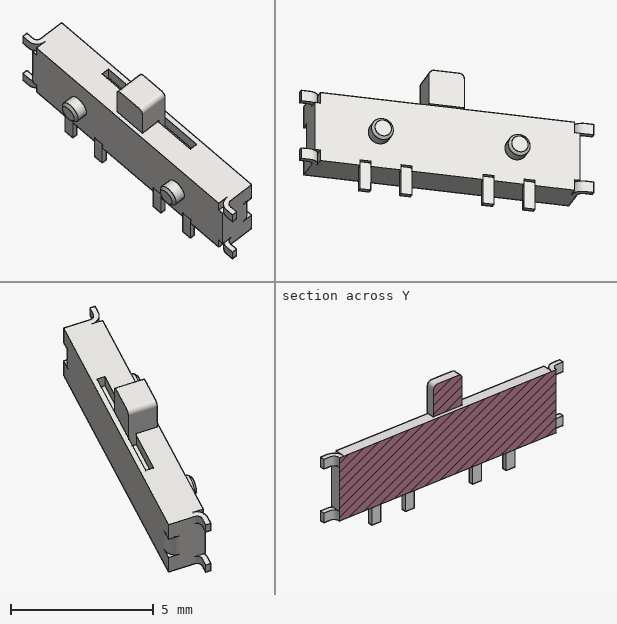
import cadquery as cq


BODY_LENGTH = 9.7
BODY_DEPTH = 1.4
BODY_HEIGHT = 2.6
HALF_LENGTH = BODY_LENGTH / 2

METAL_THICKNESS = 0.2
METAL_WIDTH = 0.4

TAB_INNER_RADIUS = 0.2
TAB_OUTER_RADIUS = TAB_INNER_RADIUS + METAL_THICKNESS
TAB_TIP_X = 5.35
TAB_BEND_X = HALF_LENGTH + TAB_INNER_RADIUS
TAB_ROOT_X = TAB_BEND_X - TAB_OUTER_RADIUS

RELIEF_RADIUS = 0.4
RELIEF_HEIGHT = 1.0

LEAD_POSITIONS = (-3.0, -1.5, 1.5, 3.0)
LEAD_LENGTH = 0.9
LEAD_BEND_RADIUS = METAL_THICKNESS

PEG_DIAMETER = 0.8
PEG_LENGTH = 0.5
PEG_CHAMFER = 0.1
PEG_SPACING = 5.0

SLOT_LENGTH = 4.5
SLOT_FRONT_Y = 0.9
SLOT_REAR_Y = 1.2
SLOT_DEPTH = 0.5
KNOB_WIDTH = 1.3
KNOB_FRONT_Y = 0.1
KNOB_TOP_ABOVE_BODY = 1.4
KNOB_CLEARANCE = 0.1
KNOB_FILLET = 0.2


def block(x_range, y_range, z_range):
    """Axis-aligned box between the given limits."""
    size = [high - low for low, high in (x_range, y_range, z_range)]
    return cq.Workplane("XY").box(*size, centered=False).translate((x_range[0], y_range[0], z_range[0]))


def both_ends(shape):
    """The shape at the +X end together with its mirror image at the -X end."""
    return shape.union(shape.mirror("YZ"))


def make_body():
    return block((-HALF_LENGTH, HALF_LENGTH), (0, BODY_DEPTH), (0, BODY_HEIGHT))


def make_corner_relief():
    """Material outside the convex rear corner arc of the +X end."""
    relief_bottom = (BODY_HEIGHT - RELIEF_HEIGHT) / 2
    arc_start_x = HALF_LENGTH - RELIEF_RADIUS
    arc_end_y = BODY_DEPTH - RELIEF_RADIUS
    return (
        cq.Workplane("XY", origin=(0, 0, relief_bottom))
        .moveTo(arc_start_x, BODY_DEPTH)
        .lineTo(HALF_LENGTH, BODY_DEPTH)
        .lineTo(HALF_LENGTH, arc_end_y)
        .radiusArc((arc_start_x, BODY_DEPTH), -RELIEF_RADIUS)
        .close()
        .extrude(RELIEF_HEIGHT)
    )


def make_tab_notch(bottom_z):
    """Corner pocket of the +X end that takes the root of a tab."""
    return block((TAB_ROOT_X, HALF_LENGTH), (0, TAB_OUTER_RADIUS), (bottom_z, bottom_z + METAL_WIDTH))


def make_tab(bottom_z):
    """Tab of the +X end: a quarter bend out of the body into a flat foot."""
    return (
        cq.Workplane("XY", origin=(0, 0, bottom_z))
        .moveTo(TAB_ROOT_X, TAB_OUTER_RADIUS)
        .radiusArc((TAB_BEND_X, 0), -TAB_OUTER_RADIUS)
        .lineTo(TAB_TIP_X, 0)
        .lineTo(TAB_TIP_X, METAL_THICKNESS)
        .lineTo(TAB_BEND_X, METAL_THICKNESS)
        .radiusArc((HALF_LENGTH, TAB_OUTER_RADIUS), TAB_INNER_RADIUS)
        .close()
        .extrude(METAL_WIDTH)
    )


def make_lead_notch(center_x):
    side = METAL_WIDTH / 2
    return block((center_x - side, center_x + side), (0, LEAD_BEND_RADIUS), (0, LEAD_BEND_RADIUS))


def make_lead(center_x):
    """Straight lead whose top curves rearward into the body."""
    return (
        cq.Workplane("YZ", origin=(center_x - METAL_WIDTH / 2, 0, 0))
        .moveTo(0, -LEAD_LENGTH)
        .lineTo(METAL_THICKNESS, -LEAD_LENGTH)
        .lineTo(METAL_THICKNESS, LEAD_BEND_RADIUS)
        .radiusArc((0, 0), -LEAD_BEND_RADIUS)
        .close()
        .extrude(METAL_WIDTH)
    )


def make_peg(center_x):
    return (
        cq.Workplane("XZ", origin=(center_x, 0, BODY_HEIGHT / 2))
        .circle(PEG_DIAMETER / 2)
        .extrude(PEG_LENGTH)
        .faces("<Y")
        .chamfer(PEG_CHAMFER)
    )


def make_slot():
    return block(
        (-SLOT_LENGTH / 2, SLOT_LENGTH / 2),
        (SLOT_FRONT_Y, SLOT_REAR_Y),
        (BODY_HEIGHT - SLOT_DEPTH, BODY_HEIGHT),
    )


def make_slider():
    """Knob overhanging the top face, on a stem that fills the slot width."""
    knob_x = (-KNOB_WIDTH / 2, KNOB_WIDTH / 2)
    knob_bottom = BODY_HEIGHT + KNOB_CLEARANCE
    knob_top = BODY_HEIGHT + KNOB_TOP_ABOVE_BODY
    knob = block(knob_x, (KNOB_FRONT_Y, SLOT_REAR_Y), (knob_bottom, knob_top))
    knob = knob.edges("|Y and >Z").fillet(KNOB_FILLET)
    stem = block(knob_x, (SLOT_FRONT_Y, SLOT_REAR_Y), (BODY_HEIGHT - SLOT_DEPTH, knob_bottom))
    return knob.union(stem)


switch = make_body().cut(both_ends(make_corner_relief())).cut(make_slot()).union(make_slider())

for tab_z in (0, BODY_HEIGHT - METAL_WIDTH):
    switch = switch.cut(both_ends(make_tab_notch(tab_z))).union(both_ends(make_tab(tab_z)))

for lead_x in LEAD_POSITIONS:
    switch = switch.cut(make_lead_notch(lead_x)).union(make_lead(lead_x))

for peg_x in (-PEG_SPACING / 2, PEG_SPACING / 2):
    switch = switch.union(make_peg(peg_x))

result = switch